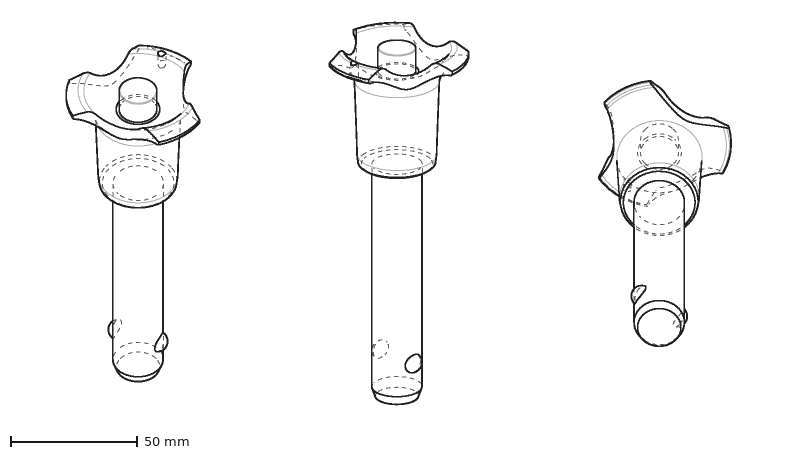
import cadquery as cq
import math


total_length = 151.2

lobe_radius = 28.5
rim_top_z = -2.9
rim_bottom_z = -4.8
rim_edge_fillet = 0.8
flare_outer_radius = 26.5
flare_middle = (19.9, -8.4)
grip_top_radius = 16.9
grip_top_z = -14.7
grip_bottom_radius = 15.8
grip_bottom_z = -46.7
handle_bottom_z = -50.9
lip_radius = 15.4
lip_height = 0.9
lip_chamfer = 1.2

crest_radius = 22.95
crest_round = 1.8
dish_edge_slope = 50
rim_slope = 30
dish_middle = (17.8, -5.2)
dish_floor_radius = 8.65
dish_floor_z = -10.8

waist_radius = 18.1
front_cut_radius = 52.0
side_cut_radius = 32.5
finger_cuts = ((270, front_cut_radius), (30, side_cut_radius), (150, side_cut_radius))

cutter_clearance = 1.0
cutter_height = cutter_clearance - grip_top_z

lanyard_hole_diameter = 3.0
lanyard_hole_y = 23.1

button_radius = 7.5
button_top_z = -0.5
button_fillet = 0.3

shank_radius = 10.0
tip_radius = 8.6
tip_length = 4.0

ball_radius = 4.2
ball_reach = 12.5
ball_height = 17.1


def crest_point(slope):
    angle = math.radians(slope)
    return (crest_radius + crest_round * math.sin(angle), crest_round * (math.cos(angle) - 1))


def make_handle_body():
    profile = (
        cq.Workplane("XZ")
        .moveTo(0, dish_floor_z)
        .lineTo(dish_floor_radius, dish_floor_z)
        .threePointArc(dish_middle, crest_point(-dish_edge_slope))
        .threePointArc((crest_radius, 0), crest_point(rim_slope))
        .lineTo(lobe_radius, rim_top_z)
        .lineTo(lobe_radius, rim_bottom_z + rim_edge_fillet)
        .radiusArc((lobe_radius - rim_edge_fillet, rim_bottom_z), rim_edge_fillet)
        .lineTo(flare_outer_radius, rim_bottom_z)
        .threePointArc(flare_middle, (grip_top_radius, grip_top_z))
        .lineTo(grip_bottom_radius, grip_bottom_z)
        .lineTo(lip_radius, handle_bottom_z + lip_height)
        .lineTo(lip_radius - lip_chamfer, handle_bottom_z)
        .lineTo(0, handle_bottom_z)
        .close()
    )
    return profile.revolve(360, (0, 0, 0), (0, 1, 0))


def make_finger_cut(angle, radius):
    center_distance = waist_radius + radius
    center_x = center_distance * math.cos(math.radians(angle))
    center_y = center_distance * math.sin(math.radians(angle))
    return (
        cq.Workplane("XY", origin=(center_x, center_y, grip_top_z))
        .circle(radius)
        .extrude(cutter_height)
    )


def make_lanyard_hole():
    return (
        cq.Workplane("XY", origin=(0, lanyard_hole_y, grip_top_z))
        .circle(lanyard_hole_diameter / 2)
        .extrude(cutter_height)
    )


def make_handle():
    handle = make_handle_body()
    for angle, radius in finger_cuts:
        handle = handle.cut(make_finger_cut(angle, radius))
    return handle.cut(make_lanyard_hole())


def make_button():
    return (
        cq.Workplane("XY", origin=(0, 0, grip_top_z))
        .circle(button_radius)
        .extrude(button_top_z - grip_top_z)
        .faces(">Z")
        .edges()
        .fillet(button_fillet)
    )


def make_shank():
    shank_length = total_length + grip_bottom_z
    taper_width = shank_radius - tip_radius
    return (
        cq.Workplane("XY", origin=(0, 0, -total_length))
        .circle(shank_radius)
        .extrude(shank_length)
        .faces("<Z")
        .edges()
        .chamfer(tip_length, taper_width)
    )


def make_ball(side):
    center = (side * (ball_reach - ball_radius), 0, ball_height - total_length)
    return cq.Workplane("XY", origin=center).sphere(ball_radius)


result = make_handle().union(make_button()).union(make_shank())
for side in (-1, 1):
    result = result.union(make_ball(side))